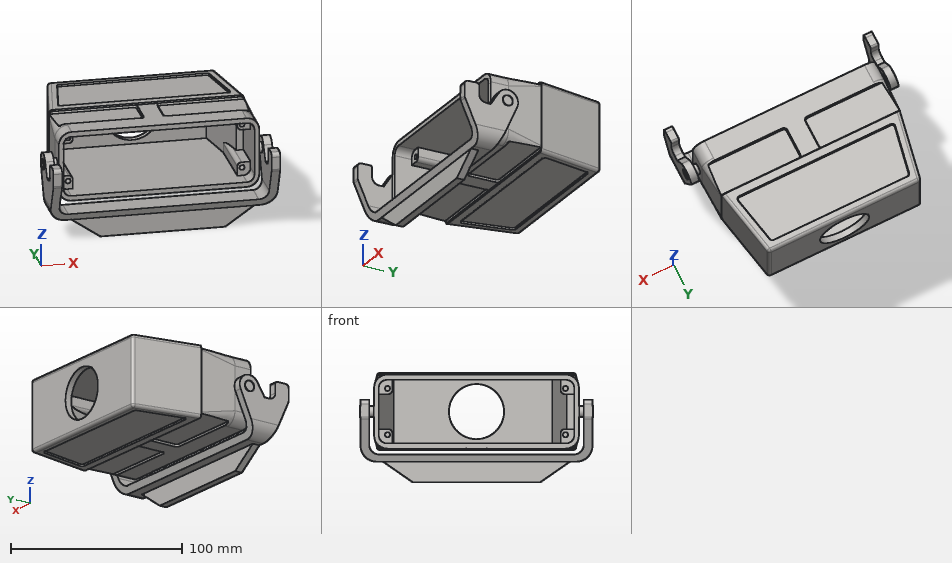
import cadquery as cq
import math


hood_back_y = 78.5
step_y = 34.6
hood_height = 45.3
hood_front_width = 116.5
hood_back_width = 99.6
hood_edge_radius = 2.0

neck_step_width = 117.0
neck_step_radius = 2.3
lip_width = 119.8
lip_height = 43.1
lip_length = 11.7
lip_radius = 7.6

cavity_width = 114.0
cavity_height = 37.0
cavity_radius = 4.5
cavity_bend_y = 30.7
cavity_floor_y = 74.3
cavity_left_end_x = -48.3
cavity_ledge_x = 52.7
cavity_right_end_x = 44.3
cable_hole_diameter = 32.0

post_front_y = 11.2
post_inner_x = 49.1
post_height = 8.3
post_radius = 2.6
screw_hole_diameter = 3.0
screw_hole_x = 52.0
screw_hole_z = 13.5
screw_hole_depth = 13.6

panel_depth = 1.1
recess_wall_taper = 20.0
panel_front_y = 40.0
panel_back_y = 73.2
panel_front_half_width = 51.8
panel_back_half_width = 45.3
panel_radius = 1.9
neck_recess_depth = 1.4
neck_recess_front_y = 13.5
neck_recess_inner_x = 5.9
neck_recess_radius = 2.3

pin_diameter = 6.5
pin_y = 7.0
pin_span = 136.4
lever_outer_half = 67.8
lever_arm_thickness = 5.2
lever_bottom_z = -29.3
lever_bar_thickness = 4.4
lever_outer_radius = 9.5
lever_inner_radius = 5.7
lever_eye_radius = 7.0
lever_top_z = 7.0
lever_front_y = -21.7
lever_shoulder_z = -3.7
lever_shoulder_radius = 2.7
lever_bar_back_y = 1.5
lever_bar_front_y = -10.2
notch_front_y = -12.0
notch_back_y = -4.2
notch_floor_z = -4.6
notch_radius = 4.5
hook_front_radius = 2.5
hook_back_radius = 1.4

grip_thickness = 4.9
grip_bottom_z = -41.3
grip_top_half_width = 54.5
grip_bottom_half_width = 37.2


def xz_plane(y):
    """Sketch plane facing -Y at the given depth; negative extrusions go towards +Y."""
    return cq.Workplane("XZ", origin=(0, y, 0))


def rounded_sketch(width, height, radius):
    return cq.Sketch().rect(width, height).vertices().fillet(radius)


def both_faces(solid):
    """The solid together with its mirror image below the mid plane."""
    return solid.union(solid.mirror("XY"))


def make_hood():
    front_half = hood_front_width / 2
    back_half = hood_back_width / 2
    outline = [
        (-front_half, step_y),
        (front_half, step_y),
        (back_half, hood_back_y),
        (-back_half, hood_back_y),
    ]
    block = cq.Workplane("XY").polyline(outline).close().extrude(hood_height / 2, both=True)
    return block.edges("not <Y").fillet(hood_edge_radius)


def make_neck():
    """Straight lip, then a transition whose corners get sharper towards the hood."""
    lip_outline = rounded_sketch(lip_width, lip_height, lip_radius)
    lip = xz_plane(0).placeSketch(lip_outline).extrude(-lip_length)
    step_outline = rounded_sketch(neck_step_width, lip_height, neck_step_radius)
    to_step = cq.Location(cq.Vector(0, 0, lip_length - step_y))
    transition = (
        xz_plane(lip_length)
        .placeSketch(lip_outline, step_outline.moved(to_step))
        .loft(ruled=True)
    )
    return lip.union(transition)


def make_cavity():
    half = cavity_width / 2
    outline = [
        (-half, 0),
        (half, 0),
        (half, cavity_bend_y),
        (cavity_ledge_x, cavity_bend_y),
        (cavity_right_end_x, cavity_floor_y),
        (cavity_left_end_x, cavity_floor_y),
        (-half, cavity_bend_y),
    ]
    space = cq.Workplane("XY").polyline(outline).close().extrude(cavity_height / 2, both=True)
    mouth_outline = rounded_sketch(cavity_width, cavity_height, cavity_radius)
    return space.intersect(xz_plane(0).placeSketch(mouth_outline).extrude(-cavity_floor_y))


def make_posts():
    """Four posts from the cavity floor, rounded on their free corner."""
    length = hood_back_y - post_front_y
    width = cavity_width / 2 - post_inner_x
    center_x = post_inner_x + width / 2
    center_z = (cavity_height - post_height) / 2
    post = (
        xz_plane(post_front_y)
        .center(center_x, center_z)
        .rect(width, post_height)
        .extrude(-length)
        .edges("|Y and <X and <Z")
        .fillet(post_radius)
    )
    right_posts = both_faces(post)
    return right_posts.union(right_posts.mirror("YZ"))


def make_screw_holes():
    return (
        xz_plane(post_front_y)
        .rect(2 * screw_hole_x, 2 * screw_hole_z, forConstruction=True)
        .vertices()
        .circle(screw_hole_diameter / 2)
        .extrude(-screw_hole_depth)
    )


def make_cable_hole():
    """Cable entry through the back wall."""
    return xz_plane(0).circle(cable_hole_diameter / 2).extrude(-hood_back_y)


def tapered_recess(outline, face_z, radius, depth):
    """Cutter with rounded corners, narrowing from the face down to the recess floor."""
    sketch = cq.Sketch().polygon(outline + outline[:1]).vertices().fillet(radius)
    recess = (
        cq.Workplane("XY", origin=(0, 0, face_z))
        .placeSketch(sketch)
        .extrude(-depth, taper=recess_wall_taper)
    )
    return both_faces(recess)


def make_hood_panels():
    outline = [
        (-panel_front_half_width, panel_front_y),
        (panel_front_half_width, panel_front_y),
        (panel_back_half_width, panel_back_y),
        (-panel_back_half_width, panel_back_y),
    ]
    return tapered_recess(outline, hood_height / 2, panel_radius, panel_depth)


def make_neck_recesses():
    """Recesses running out through the sides of the neck, left and right of a middle web."""
    outer_x = lip_width / 2 + 2 * neck_recess_radius
    outline = [
        (neck_recess_inner_x, neck_recess_front_y),
        (outer_x, neck_recess_front_y),
        (outer_x, step_y),
        (neck_recess_inner_x, step_y),
    ]
    recesses = tapered_recess(outline, lip_height / 2, neck_recess_radius, neck_recess_depth)
    return recesses.union(recesses.mirror("YZ"))


def eye_point(angle):
    return (
        pin_y + lever_eye_radius * math.cos(angle),
        lever_eye_radius * math.sin(angle),
    )


def tangent_angle(point, side):
    """Angle on the lever eye where a line from the point touches it."""
    dy = point[0] - pin_y
    dz = point[1]
    spread = math.acos(lever_eye_radius / math.hypot(dy, dz))
    return math.atan2(dz, dy) + side * spread


def make_lever_side():
    """Side outline of the lever: eye around the pin, notch, hook and tapering foot."""
    notch_start = (notch_back_y, notch_floor_z)
    foot_back = (lever_bar_back_y, lever_bottom_z)
    diagonal = math.sqrt(0.5)
    notch_center = (notch_front_y + notch_radius, notch_floor_z + notch_radius)
    notch_middle = (
        notch_center[0] - notch_radius * diagonal,
        notch_center[1] - notch_radius * diagonal,
    )
    outline = (
        cq.Workplane("YZ")
        .moveTo(*eye_point(tangent_angle(foot_back, 1)))
        .threePointArc(eye_point(math.pi / 4), eye_point(tangent_angle(notch_start, -1)))
        .lineTo(*notch_start)
        .lineTo(notch_center[0], notch_floor_z)
        .threePointArc(notch_middle, (notch_front_y, notch_center[1]))
        .lineTo(notch_front_y, lever_top_z)
        .lineTo(lever_front_y, lever_top_z)
        .lineTo(lever_front_y, lever_shoulder_z)
        .lineTo(lever_bar_front_y, lever_bottom_z)
        .lineTo(*foot_back)
        .close()
    )
    side = outline.extrude(lever_outer_half, both=True)
    rounded_edges = [
        (lever_front_y, lever_top_z, hook_front_radius),
        (notch_front_y, lever_top_z, hook_back_radius),
        (lever_front_y, lever_shoulder_z, lever_shoulder_radius),
    ]
    for y, z, radius in rounded_edges:
        edge = cq.selectors.NearestToPointSelector((0, y, z))
        side = side.edges("|X").edges(edge).fillet(radius)
    return side


def make_lever():
    """Bent strap cut to the side outline, with a grip plate below it."""
    strap_top_z = 2 * lever_eye_radius
    length = pin_y + 2 * lever_eye_radius - lever_front_y

    def strap_block(half_width, bottom_z, radius):
        return (
            xz_plane(lever_front_y)
            .center(0, (strap_top_z + bottom_z) / 2)
            .rect(2 * half_width, strap_top_z - bottom_z)
            .extrude(-length)
            .edges("|Y and <Z")
            .fillet(radius)
        )

    outside = strap_block(lever_outer_half, lever_bottom_z, lever_outer_radius)
    inside = strap_block(
        lever_outer_half - lever_arm_thickness,
        lever_bottom_z + lever_bar_thickness,
        lever_inner_radius,
    )
    strap = outside.cut(inside).intersect(make_lever_side())
    grip_outline = [
        (-grip_bottom_half_width, grip_bottom_z),
        (grip_bottom_half_width, grip_bottom_z),
        (grip_top_half_width, lever_bottom_z),
        (-grip_top_half_width, lever_bottom_z),
    ]
    grip = xz_plane(lever_bar_front_y).polyline(grip_outline).close().extrude(-grip_thickness)
    return strap.union(grip)


def make_pins():
    """Pins rooted in the middle of the side walls and ending outside the lever."""
    root_x = (cavity_width + lip_width) / 4
    pin = (
        cq.Workplane("YZ", origin=(root_x, pin_y, 0))
        .circle(pin_diameter / 2)
        .extrude(pin_span / 2 - root_x)
    )
    return pin.union(pin.mirror("YZ"))


shell = make_hood().union(make_neck())
body = shell.cut(make_cavity()).union(make_posts().intersect(shell))
body = body.cut(make_screw_holes()).cut(make_cable_hole())
body = body.cut(make_hood_panels()).cut(make_neck_recesses())

result = body.union(make_pins()).union(make_lever())